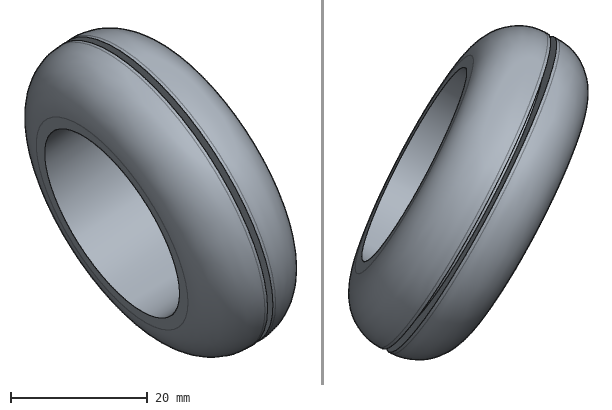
import cadquery as cq

outer_diameter = 52.0
width = 18.0
bore_diameter = 32.0
groove_floor_diameter = 44.0
groove_width = 1.0
shoulder_radius = 8.0


def centred_tube(inner_diameter, length):
    """Tube along Y with the full outer diameter, centred on the origin."""
    return (
        cq.Workplane("XZ", origin=(0, length / 2, 0))
        .circle(outer_diameter / 2)
        .circle(inner_diameter / 2)
        .extrude(length)
    )


outer_rims = cq.selectors.RadiusNthSelector(-1)
body = centred_tube(bore_diameter, width).edges(outer_rims).fillet(shoulder_radius)

groove = centred_tube(groove_floor_diameter, groove_width)

result = body.cut(groove)